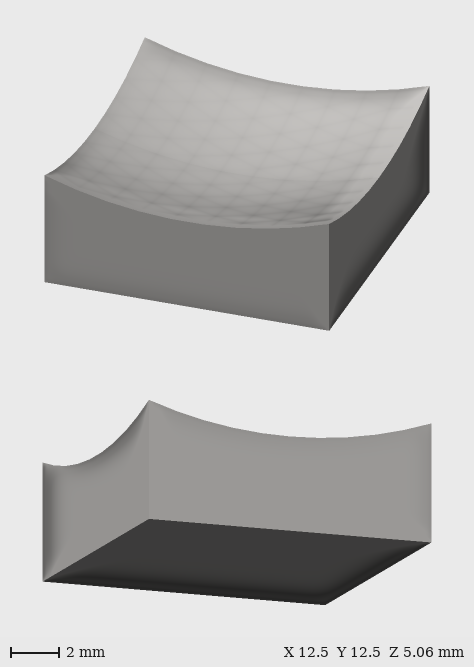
import cadquery as cq

side = 12.5
centre_thickness = 3.0
dish_radius = 20.0
blank_height = 8.0

dish_centre_height = centre_thickness + dish_radius


def make_blank():
    """Square block standing on Z = 0, centred on the Z axis."""
    return cq.Workplane("XY").box(side, side, blank_height, centered=(True, True, False))


def make_dish_ball():
    """Ball revolved about an axis parallel to X, with its seam along the bottom of the dish."""
    return (
        cq.Workplane("XZ", origin=(0, 0, dish_centre_height))
        .moveTo(-dish_radius, 0)
        .threePointArc((0, -dish_radius), (dish_radius, 0))
        .close()
        .revolve(360, (0, 0), (1, 0))
    )


result = make_blank().cut(make_dish_ball(), clean=False)